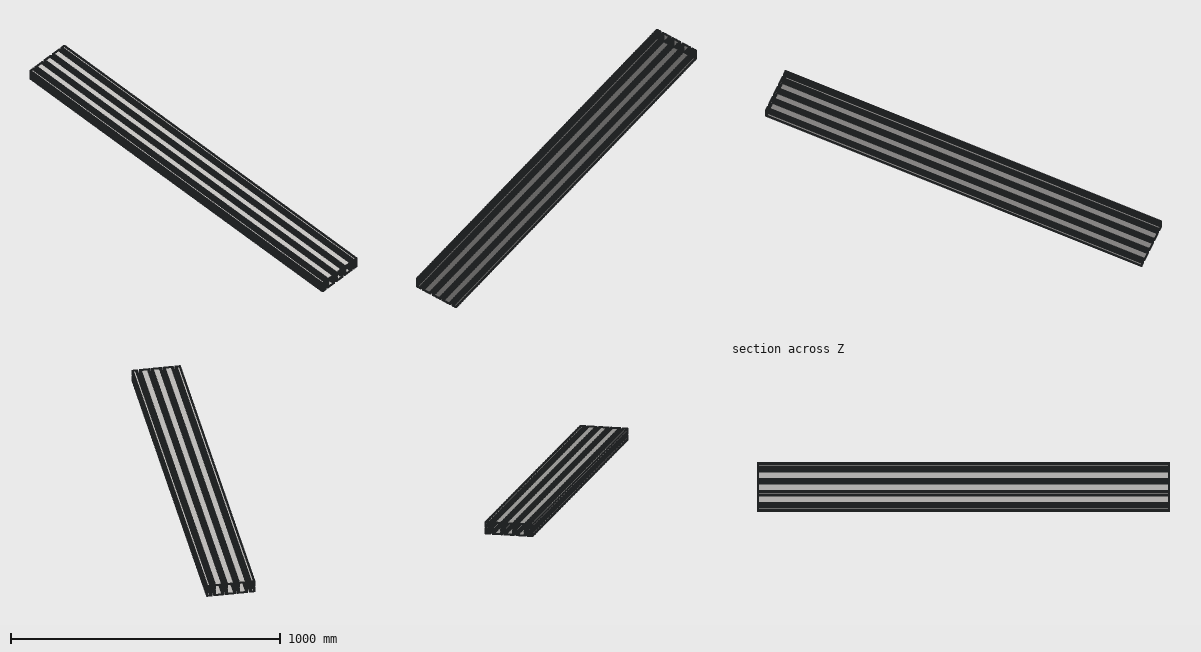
import cadquery as cq

length = 1524.0
width = 180.0
height = 45.0
corner_radius = 2.0
module = 45.0

half_length = length / 2
half_width = width / 2
half_height = height / 2
slot_count = round(width / module)
slot_rows = [(index - (slot_count - 1) / 2) * module for index in range(slot_count)]
outer_row = slot_rows[-1]

slot_opening = 9.0
slot_inner_width = 12.6
slot_floor_width = 6.0
lip_depth = 5.0
slot_taper_depth = 12.0
slot_depth = 14.5

skin = 2.0
side_wall = 2.0
slot_wall = 1.4
lip_height = 6.0
lip_reach = 9.6
core_bore = 7.4
core_half_width = 6.6
rib_reach = 9.4
rib_top = 7.6
rib_bottom = 6.0

side_pad = 5.5

groove_width = 8.0
groove_depth = 1.0

slot_wall_reach = slot_inner_width / 2 + slot_wall
ceiling = half_height - skin
lip_foot = half_height - lip_height
lip_end = lip_foot - (lip_reach - slot_wall_reach)
wall_foot = rib_top + (rib_reach - slot_wall_reach)


def section(points):
    """Open polyline on the profile's end face: its points are (Y, Z)."""
    return cq.Workplane("YZ", origin=(-half_length, 0, 0)).polyline(points)


def prism(points):
    """Closed YZ outline run over the full length."""
    return section(points).close().extrude(length)


def slot(row, side):
    """T-slot centred on the given row, in the top (+1) or bottom (-1) face."""
    right = [
        (slot_opening / 2, half_height),
        (slot_opening / 2, half_height - lip_depth),
        (slot_inner_width / 2, half_height - lip_depth),
        (slot_inner_width / 2, half_height - slot_taper_depth),
        (slot_floor_width / 2, half_height - slot_depth),
    ]
    left = [(-y, z) for y, z in reversed(right)]
    return prism([(row + y, side * z) for y, z in right + left])


def main_chamber(row, next_row):
    """Chamber between two neighbouring cores, waisted around each of them."""
    upper = [
        (rib_reach, rib_bottom),
        (rib_reach, rib_top),
        (slot_wall_reach, wall_foot),
        (slot_wall_reach, lip_end),
        (lip_reach, lip_foot),
        (lip_reach, ceiling),
    ]
    lower = [(y, -z) for y, z in reversed(upper)]
    left_upper = [(row + y, z) for y, z in upper]
    right_upper = [(next_row - y, z) for y, z in reversed(upper)]
    right_lower = [(next_row - y, z) for y, z in reversed(lower)]
    left_lower = [(row + y, z) for y, z in lower]
    return (
        section(left_upper + right_upper)
        .threePointArc((next_row - core_half_width, 0), right_lower[0])
        .polyline(right_lower + left_lower)
        .threePointArc((row + core_half_width, 0), left_upper[0])
        .close()
        .extrude(length)
    )


def corner_chamber(end, side):
    """Chamber in a corner of the profile, beside the outermost slot."""
    wall = half_width - side_wall
    points = [
        (outer_row + rib_reach, rib_top),
        (outer_row + slot_wall_reach, wall_foot),
        (outer_row + slot_wall_reach, lip_end),
        (outer_row + lip_reach, lip_foot),
        (outer_row + lip_reach, ceiling),
        (wall, ceiling),
        (wall, wall_foot),
        (half_width - side_pad, rib_top),
    ]
    return prism([(end * y, side * z) for y, z in points])


def side_chamber(end):
    """Small chamber between an outer core and the side wall."""
    rib_tip = end * (outer_row + rib_reach)
    pad = end * (half_width - side_pad)
    points = [
        (rib_tip, rib_bottom),
        (pad, rib_bottom),
        (pad, -rib_bottom),
        (rib_tip, -rib_bottom),
    ]
    return (
        section(points)
        .threePointArc((end * (outer_row + core_half_width), 0), points[0])
        .close()
        .extrude(length)
    )


def side_groove(end):
    """Flat-bottomed groove along the middle of a side face."""
    floor = half_width - groove_depth
    return prism([
        (end * half_width, groove_width / 2),
        (end * floor, groove_width / 2),
        (end * floor, -groove_width / 2),
        (end * half_width, -groove_width / 2),
    ])


def bore(row):
    """Round hole through a core."""
    return (
        cq.Workplane("YZ", origin=(-half_length, row, 0))
        .circle(core_bore / 2)
        .extrude(length)
    )


result = cq.Workplane("XY").box(length, width, height).edges("|X").fillet(corner_radius)
for row in slot_rows:
    result = result.cut(bore(row))
    for side in (1, -1):
        result = result.cut(slot(row, side))
for row, next_row in zip(slot_rows, slot_rows[1:]):
    result = result.cut(main_chamber(row, next_row))
for end in (1, -1):
    result = result.cut(side_chamber(end)).cut(side_groove(end))
    for side in (1, -1):
        result = result.cut(corner_chamber(end, side))